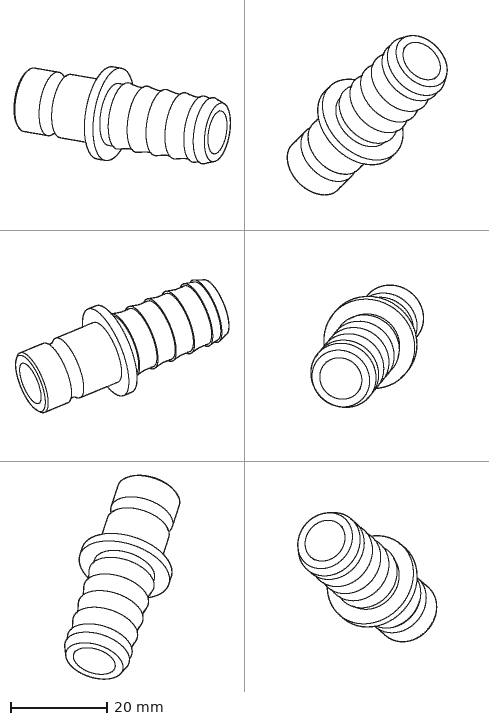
import cadquery as cq


total_length = 44.0
flange_start = 18.0
flange_thickness = 2.0
groove_center = 7.5
plug_chamfer = 0.45

bore_diameter = 9.0
plug_diameter = 13.4
flange_diameter = 19.5
root_diameter = 13.05
barb_diameter = 14.0
tip_diameter = 12.35

groove_width = 2.9
groove_depth = 0.65

barb_count = 5
segment_count = 2 * barb_count + 1
flange_end = flange_start + flange_thickness
segment_length = (total_length - flange_end) / segment_count

bore_radius = bore_diameter / 2
plug_radius = plug_diameter / 2
flange_radius = flange_diameter / 2
root_radius = root_diameter / 2
barb_radius = barb_diameter / 2
tip_radius = tip_diameter / 2


def add_plug(profile):
    """Trace the chamfered plug and its locking groove, up to the flange."""
    return (
        profile
        .lineTo(0, plug_radius - plug_chamfer)
        .lineTo(plug_chamfer, plug_radius)
        .lineTo(groove_center - groove_width / 2, plug_radius)
        .threePointArc(
            (groove_center, plug_radius - groove_depth),
            (groove_center + groove_width / 2, plug_radius),
        )
        .lineTo(flange_start, plug_radius)
    )


def add_flange(profile):
    """Trace the flange, ending at the root of the hose tail."""
    return (
        profile
        .lineTo(flange_start, flange_radius)
        .lineTo(flange_end, flange_radius)
        .lineTo(flange_end, root_radius)
    )


def add_barb(profile, start, end_radius):
    """Trace a step up to the barb crest and a one-segment taper down to end_radius."""
    return (
        profile
        .lineTo(start, barb_radius)
        .lineTo(start + segment_length, end_radius)
    )


def add_tail(profile):
    """Trace the barbs, each after one plain root segment, then the tapered tip."""
    for index in range(barb_count):
        barb_start = flange_end + (2 * index + 1) * segment_length
        profile = profile.lineTo(barb_start, root_radius)
        profile = add_barb(profile, barb_start, root_radius)
    return add_barb(profile, total_length - segment_length, tip_radius)


half_section = cq.Workplane("XY").moveTo(0, bore_radius)
half_section = add_plug(half_section)
half_section = add_flange(half_section)
half_section = add_tail(half_section)
half_section = half_section.lineTo(total_length, bore_radius).close()

result = half_section.revolve(360, (0, 0, 0), (1, 0, 0))